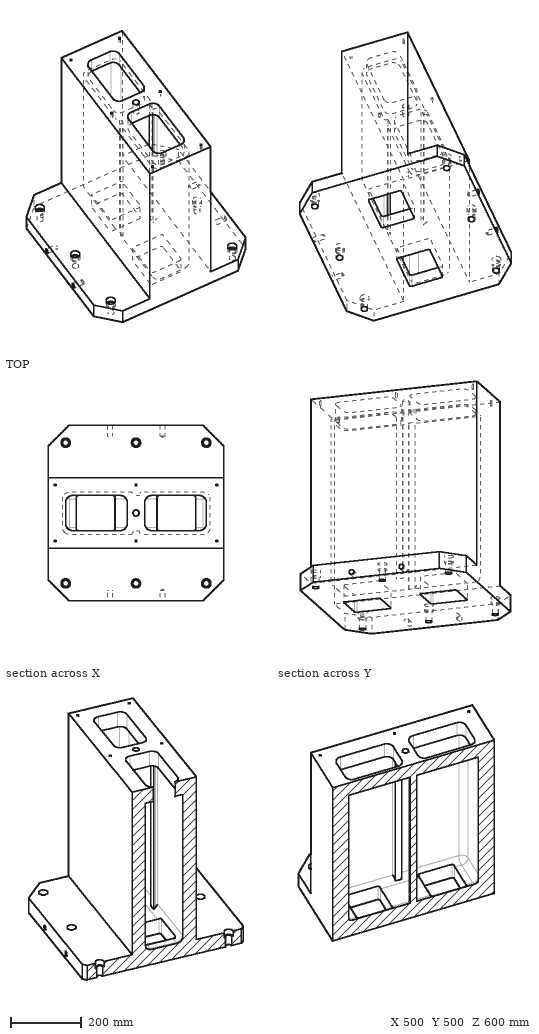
import cadquery as cq
import math

height = 600.0
side = height * 5 / 6
base_thickness = height / 12
corner_cut = 60.0

column_depth = height / 3
top_thickness = base_thickness
floor_thickness = base_thickness

opening_depth = side / 5
opening_inner_x = side / 20
opening_outer_x = side * 2 / 5
opening_radius = side / 25

undercut = side / 50
hollow_length = 2 * (opening_outer_x + undercut)
hollow_depth = opening_depth + 2 * undercut
hollow_radius = opening_radius
hollow_top = height - top_thickness

web_thickness = 20.0
web_corner_radius = 5.0
window_depth = opening_depth

floor_hole_length = 110.0
floor_hole_depth = opening_depth
floor_hole_radius = 5.5
floor_hole_x = 114.5

mount_spacing = side * 2 / 5
mount_diameter = 18.0
counterbore_diameter = 26.0
counterbore_depth = 17.5

drill_point_angle = 118.0
cover_diameter = 5.0
cover_hole_depth = 15.0
cover_x = 230.0
cover_y = 80.0
lifting_diameter = 17.5
lifting_depth = 40.0
side_hole_diameter = 14.0
side_hole_depth = 30.0
side_hole_x = 75.0
side_hole_z = 18.0


def block(length, depth, bottom, top, x=0.0):
    """Box centred on (x, 0) that spans the given heights."""
    return cq.Workplane("XY", origin=(x, 0, bottom)).rect(length, depth).extrude(top - bottom)


def drilled_hole(diameter, depth, mouth, direction):
    """Cylinder with a conical tip, entering the part at `mouth`."""
    radius = diameter / 2
    tip_length = radius / math.tan(math.radians(drill_point_angle / 2))
    axis = cq.Vector(*direction)
    bore = cq.Solid.makeCylinder(radius, depth, cq.Vector(*mouth), axis)
    tip = cq.Solid.makeCone(radius, 0, tip_length, cq.Vector(*mouth) + axis * depth, axis)
    return cq.Workplane(bore.fuse(tip))


def make_body():
    base = block(side, side, 0, base_thickness).edges("|Z").chamfer(corner_cut)
    return base.union(block(side, column_depth, 0, height))


def make_hollow():
    """Two chambers joined by the window in the web, with rounded outer floor edges."""
    envelope = block(hollow_length, hollow_depth, floor_thickness, hollow_top)
    envelope = envelope.edges("|Z").fillet(hollow_radius).faces("<Z").edges().fillet(hollow_radius)
    chambers = block(web_thickness, window_depth, floor_thickness, hollow_top)
    chamber_length = (hollow_length - web_thickness) / 2
    chamber_x = (hollow_length + web_thickness) / 4
    for x_side, web_face in ((-1, ">X"), (1, "<X")):
        chamber = block(chamber_length, hollow_depth, floor_thickness, hollow_top, x_side * chamber_x)
        chambers = chambers.union(chamber.faces(web_face).edges("|Z").fillet(web_corner_radius))
    return envelope.intersect(chambers)


def make_opening(x_side):
    length = opening_outer_x - opening_inner_x
    x = x_side * (opening_outer_x + opening_inner_x) / 2
    return block(length, opening_depth, hollow_top, height, x).edges("|Z").fillet(opening_radius)


def make_floor_hole(x_side):
    """Hole that also cuts through the rounded floor edges of the chamber."""
    top = floor_thickness + hollow_radius
    hole = block(floor_hole_length, floor_hole_depth, 0, top, x_side * floor_hole_x)
    return hole.edges("|Z").fillet(floor_hole_radius)


def make_mounting_holes():
    """Six counterbored holes, three on each side of the column."""
    points = [(i * mount_spacing, j * mount_spacing) for i in (-1, 0, 1) for j in (-1, 1)]
    bores = cq.Workplane("XY").pushPoints(points).circle(mount_diameter / 2).extrude(base_thickness)
    counterbores = (
        cq.Workplane("XY", origin=(0, 0, base_thickness - counterbore_depth))
        .pushPoints(points)
        .circle(counterbore_diameter / 2)
        .extrude(counterbore_depth)
    )
    return bores.union(counterbores)


result = make_body().cut(make_hollow()).cut(make_mounting_holes())

for x_side in (-1, 1):
    result = result.cut(make_opening(x_side)).cut(make_floor_hole(x_side))

result = result.cut(drilled_hole(lifting_diameter, lifting_depth, (0, 0, height), (0, 0, -1)))
for i in (-1, 0, 1):
    for j in (-1, 1):
        mouth = (i * cover_x, j * cover_y, height)
        result = result.cut(drilled_hole(cover_diameter, cover_hole_depth, mouth, (0, 0, -1)))

for i in (-1, 1):
    for j in (-1, 1):
        mouth = (i * side_hole_x, j * side / 2, side_hole_z)
        result = result.cut(drilled_hole(side_hole_diameter, side_hole_depth, mouth, (0, -j, 0)))